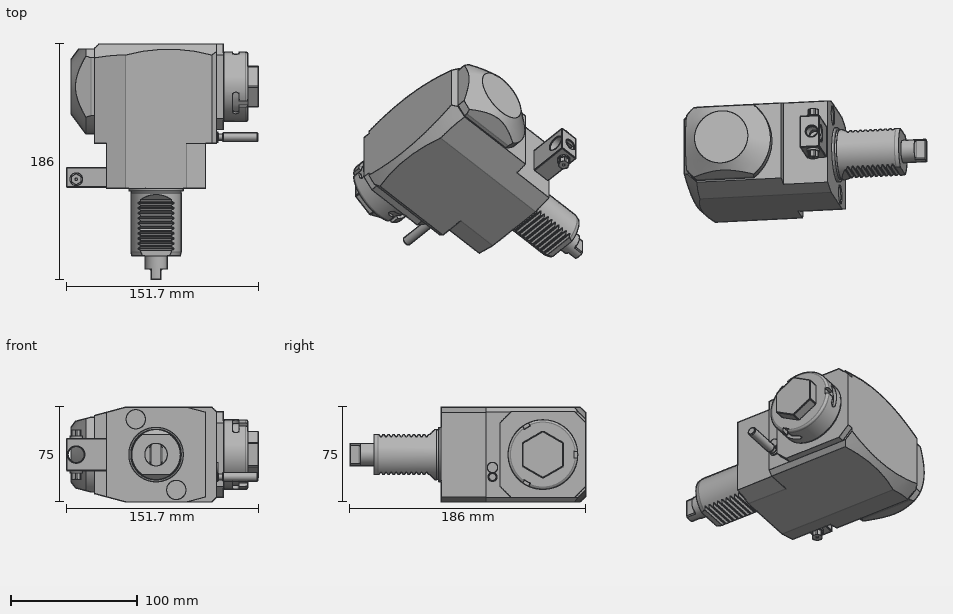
import cadquery as cq
import math


OVERLAP = 1.0

BODY_HALF_HEIGHT = 37.48
BODY_LEFT = -48.7
BODY_RIGHT = 47.8
BODY_BACK = 114.2
FOOT_HALF_WIDTH = 39.2
FOOT_DEPTH = 35.5
SLOPE_START = 24.0
SLOPE = math.tan(math.radians(15))
BODY_CHAMFER = 3.7
BACK_CONE_X = 10.0
BACK_CONE_Y = -18.5
BACK_CONE_RADIUS = 128.3
PLUG_X = 16.0
PLUG_Z = 27.9
PLUG_RADIUS = 7.6
PLUG_DEPTH = 1.0

SPINDLE_Y = 80.4
PLATE_HALF_SIZE = BODY_BACK - SPINDLE_Y
PLATE_RIGHT = 53.2
PLATE_CHAMFER = 8.7
NUT_RIGHT = 72.5
NUT_LEFT = 53.8
NUT_RADIUS = 27.5
NUT_FILLET = 1.9
NUT_SEAT_RADIUS = 26.6
NUT_SLOT_X = 63.0
NUT_SLOT_WIDTH = 5.2
NUT_SLOT_HALF_ANGLE = 21
NUT_SLOT_DEPTH = 2.8
NUT_SLOT_COUNT = 3
HEX_RIGHT = 81.0
HEX_ACROSS_FLATS = 32.4
HEX_CORNER_RADIUS = 18.5
HEX_CHAMFER = 0.5

CAP_LEFT = -67.3
CAP_CONE_START = -55.5
CAP_FACE_RADIUS = 21.4
CAP_RADIUS = 37.4
CAP_BACK = 110.3
CAP_HALF_HEIGHT = 29.5
CAP_SLOPE_START = -51.5

PIPE_Y = 40.5
PIPE_Z = -17.7
PIPE_RADIUS = 3.5
PIPE_END = 80.5
PIPE_START = 52.5
PIPE_CHAMFER = 0.7
NECK_RADIUS = 2.51
SEAT_END = 49.5
SEAT_CHAMFER = 1.0
DISC_Z = -10.2
DISC_RADIUS = 4.0
DISC_HEIGHT = 1.1

BLOCK_LEFT = -70.7
BLOCK_FRONT = 1.0
BLOCK_BACK = 16.5
BLOCK_HALF_HEIGHT = 12.8
BLOCK_CHAMFER = 0.5
NIPPLE_X = -63.0
NIPPLE_Y = 7.3
CROSS_BORE_RADIUS = 6.3
SIDE_BORE_RADIUS = 4.5
BORE_CHAMFER = 0.5
SOCKET_RADIUS = 1.5
SIDE_BORE_END = -54.0
SOCKET_END = -52.0
COLLAR_RADIUS = 5.0
COLLAR_TOP = 14.5
NIPPLE_TOP = 19.5
NIPPLE_ACROSS_FLATS = 7.6
NIPPLE_CORNER_RADIUS = 4.0
NIPPLE_HOLE_RADIUS = 1.0
NIPPLE_HOLE_DEPTH = 2.8

FLANGE_RADIUS = 21.5
FLANGE_END = 2.0
FLANGE_FILLET = 0.5
RELIEF_RADIUS = 19.7
RELIEF_END = 3.5
SHANK_RADIUS = 20.0
SHANK_BEVEL_START = 50.0
SHANK_END = 53.2
SHANK_END_RADIUS = 19.2
FLAT_Z = 15.9
FLAT_RUNOUT_START = 4.8
TOOTH_COUNT = 10
TOOTH_PITCH = 4.0
FIRST_GROOVE = 11.5
GROOVE_DEPTH = 1.9
GROOVE_HALF_TOP = 1.53
GROOVE_HALF_ROOT = 0.28

DRIVE_RADIUS = 9.0
TANG_START = 63.8
TANG_END = 71.8
TANG_HALF_WIDTH = 4.0
TANG_CHAMFER = 0.7
TANG_ROOT_FILLET = 1.0


def box(x_range, y_range, z_range):
    lows, highs = zip(x_range, y_range, z_range)
    size = [high - low for low, high in zip(lows, highs)]
    return cq.Workplane("XY").box(*size, centered=False).translate(lows)


def rod_x(x_start, x_end, radius, y, z):
    """Cylinder along X."""
    return cq.Workplane("YZ", origin=(x_start, y, z)).circle(radius).extrude(x_end - x_start)


def rod_y(y_start, y_end, radius, x, z):
    """Cylinder along Y."""
    return cq.Workplane("XZ", origin=(x, y_start, z)).circle(radius).extrude(y_start - y_end)


def extrude_along_y(points, y_start, y_end):
    """Prism with an XZ outline."""
    return cq.Workplane("XZ", origin=(0, y_start, 0)).polyline(points).close().extrude(y_start - y_end)


def mirrored_outline(upper):
    """Close an upper XZ outline with its mirror image below Z = 0."""
    return upper + [(x, -z) for x, z in reversed(upper)]


def sloped_z(distance):
    """Height of the 15 degree slope at a distance from the shank axis."""
    return BODY_HALF_HEIGHT - (distance - SLOPE_START) * SLOPE


def make_body():
    top = BODY_HALF_HEIGHT
    foot = extrude_along_y(mirrored_outline([
        (-FOOT_HALF_WIDTH, sloped_z(FOOT_HALF_WIDTH)),
        (-SLOPE_START, top),
        (SLOPE_START, top),
        (FOOT_HALF_WIDTH, sloped_z(FOOT_HALF_WIDTH)),
    ]), 0, FOOT_DEPTH + OVERLAP)
    head = extrude_along_y(mirrored_outline([
        (BODY_LEFT, sloped_z(-BODY_LEFT)),
        (-SLOPE_START, top),
        (BODY_RIGHT - BODY_CHAMFER, top),
        (BODY_RIGHT, top - BODY_CHAMFER),
    ]), FOOT_DEPTH, BODY_BACK)
    head = head.edges("|Z and >Y and <X").chamfer(BODY_CHAMFER)
    back_bevel = (
        cq.Workplane("XZ")
        .polyline([
            (0, -top),
            (BACK_CONE_RADIUS, -top),
            (BACK_CONE_RADIUS + top, 0),
            (BACK_CONE_RADIUS, top),
            (0, top),
        ])
        .close()
        .revolve(360, (0, 0), (0, 1))
        .translate((BACK_CONE_X, BACK_CONE_Y, 0))
    )
    body = foot.union(head.intersect(back_bevel))
    for side in (-1, 1):
        body = body.cut(rod_y(0, PLUG_DEPTH, PLUG_RADIUS, side * PLUG_X, -side * PLUG_Z))
    return body


def make_plate():
    return (
        cq.Workplane("YZ", origin=(BODY_RIGHT - OVERLAP, SPINDLE_Y, 0))
        .rect(2 * PLATE_HALF_SIZE, 2 * PLATE_HALF_SIZE)
        .extrude(PLATE_RIGHT - BODY_RIGHT + OVERLAP)
        .edges("|X")
        .chamfer(PLATE_CHAMFER)
    )


def make_nut():
    """Round collet nut with wrench slots, each open to the front through a channel."""
    nut = rod_x(NUT_LEFT, NUT_RIGHT, NUT_RADIUS, SPINDLE_Y, 0)
    nut = nut.faces(">X").edges().fillet(NUT_FILLET)
    seat = rod_x(PLATE_RIGHT - OVERLAP, NUT_LEFT + OVERLAP, NUT_SEAT_RADIUS, SPINDLE_Y, 0)
    nut = nut.union(seat)
    slot_length = 2 * NUT_RADIUS * math.sin(math.radians(NUT_SLOT_HALF_ANGLE))
    slot = (
        cq.Workplane("XZ", origin=(NUT_SLOT_X, SPINDLE_Y, 0))
        .slot2D(slot_length, NUT_SLOT_WIDTH, 90)
        .extrude(-2 * NUT_RADIUS)
    )
    channel = box(
        (NUT_SLOT_X, NUT_RIGHT),
        (SPINDLE_Y, SPINDLE_Y + NUT_RADIUS),
        (-NUT_SLOT_WIDTH / 2, NUT_SLOT_WIDTH / 2),
    )
    core = rod_x(PLATE_RIGHT, NUT_RIGHT, NUT_RADIUS - NUT_SLOT_DEPTH, SPINDLE_Y, 0)
    cutter = slot.union(channel).cut(core)
    for index in range(NUT_SLOT_COUNT):
        angle = index * 360 / NUT_SLOT_COUNT
        nut = nut.cut(cutter.rotate((0, SPINDLE_Y, 0), (1, SPINDLE_Y, 0), angle))
    return nut


def make_hex():
    corner_diameter = HEX_ACROSS_FLATS / math.cos(math.radians(30))
    hexagon = (
        cq.Workplane("YZ", origin=(NUT_RIGHT - OVERLAP, SPINDLE_Y, 0))
        .transformed(rotate=(0, 0, 30))
        .polygon(6, corner_diameter)
        .extrude(HEX_RIGHT - NUT_RIGHT + OVERLAP)
    )
    rounding = rod_x(NUT_RIGHT - OVERLAP, HEX_RIGHT, HEX_CORNER_RADIUS, SPINDLE_Y, 0)
    return hexagon.intersect(rounding).faces(">X").edges().chamfer(HEX_CHAMFER)


def make_cap():
    """Conical cap trimmed by a flat back and sloped top and bottom faces."""
    inner_end = BODY_LEFT + OVERLAP
    cone = (
        cq.Workplane("XY", origin=(0, SPINDLE_Y, 0))
        .polyline([
            (CAP_LEFT, 0),
            (CAP_LEFT, CAP_FACE_RADIUS),
            (CAP_CONE_START, CAP_RADIUS),
            (inner_end, CAP_RADIUS),
            (inner_end, 0),
        ])
        .close()
        .revolve(360, (0, 0), (1, 0))
    )
    front = SPINDLE_Y - CAP_RADIUS
    envelope = extrude_along_y(mirrored_outline([
        (CAP_LEFT, CAP_HALF_HEIGHT - (CAP_SLOPE_START - CAP_LEFT) * SLOPE),
        (CAP_SLOPE_START, CAP_HALF_HEIGHT),
        (inner_end, CAP_HALF_HEIGHT),
    ]), front, CAP_BACK)
    return cone.intersect(envelope)


def make_pipe():
    root = BODY_RIGHT - OVERLAP
    seat = rod_x(root, SEAT_END, PIPE_RADIUS, PIPE_Y, PIPE_Z).faces(">X").edges().chamfer(SEAT_CHAMFER)
    neck = rod_x(root, PIPE_START + OVERLAP, NECK_RADIUS, PIPE_Y, PIPE_Z)
    pipe = rod_x(PIPE_START, PIPE_END, PIPE_RADIUS, PIPE_Y, PIPE_Z)
    pipe = pipe.faces("<X or >X").edges().chamfer(PIPE_CHAMFER)
    disc = rod_x(root, BODY_RIGHT + DISC_HEIGHT, DISC_RADIUS, PIPE_Y, DISC_Z)
    return seat.union(neck).union(pipe).union(disc)


def make_nipple():
    """Upper nipple: round collar, hexagon and a small centre hole."""
    root = BLOCK_HALF_HEIGHT - OVERLAP
    center = cq.Workplane("XY", origin=(NIPPLE_X, NIPPLE_Y, root))
    collar = center.circle(COLLAR_RADIUS).extrude(COLLAR_TOP - root)
    corner_diameter = NIPPLE_ACROSS_FLATS / math.cos(math.radians(30))
    hexagon = center.transformed(rotate=(0, 0, 30)).polygon(6, corner_diameter).extrude(NIPPLE_TOP - root)
    rounding = center.circle(NIPPLE_CORNER_RADIUS).extrude(NIPPLE_TOP - root)
    nipple = collar.union(hexagon.intersect(rounding))
    return nipple.faces(">Z").workplane(origin=(NIPPLE_X, NIPPLE_Y)).hole(
        2 * NIPPLE_HOLE_RADIUS, NIPPLE_HOLE_DEPTH
    )


def make_coolant_block():
    block = box(
        (BLOCK_LEFT, -FOOT_HALF_WIDTH + OVERLAP),
        (BLOCK_FRONT, BLOCK_BACK),
        (-BLOCK_HALF_HEIGHT, BLOCK_HALF_HEIGHT),
    )
    block = block.edges("|X or <X").chamfer(BLOCK_CHAMFER)
    block = block.cut(rod_y(BLOCK_FRONT, BLOCK_BACK, CROSS_BORE_RADIUS, NIPPLE_X, 0))
    block = block.cut(rod_x(BLOCK_LEFT, SIDE_BORE_END, SIDE_BORE_RADIUS, NIPPLE_Y, 0))
    for face in ("<Y", ">Y", "<X"):
        block = block.faces(face).edges("%CIRCLE").chamfer(BORE_CHAMFER)
    block = block.cut(rod_x(SIDE_BORE_END, SOCKET_END, SOCKET_RADIUS, NIPPLE_Y, 0))
    nipple = make_nipple()
    return block.union(nipple).union(nipple.mirror("XY"))


def make_flat_cutter():
    """Material above the toothed flat: a 45 degree run-out, the flat and its V grooves."""
    rise = SHANK_RADIUS - FLAT_Z
    clear_z = SHANK_RADIUS + rise
    outline = [
        (-FLAT_RUNOUT_START + rise, clear_z),
        (-FLAT_RUNOUT_START - rise, FLAT_Z),
    ]
    for index in range(TOOTH_COUNT):
        y = -FIRST_GROOVE - index * TOOTH_PITCH
        outline += [
            (y + GROOVE_HALF_TOP, FLAT_Z),
            (y + GROOVE_HALF_ROOT, FLAT_Z - GROOVE_DEPTH),
            (y - GROOVE_HALF_ROOT, FLAT_Z - GROOVE_DEPTH),
            (y - GROOVE_HALF_TOP, FLAT_Z),
        ]
    outline += [(-SHANK_END, FLAT_Z), (-SHANK_END, clear_z)]
    return cq.Workplane("YZ").polyline(outline).close().extrude(SHANK_RADIUS, both=True)


def make_shank():
    shank = (
        cq.Workplane("XY")
        .polyline([
            (0, OVERLAP),
            (RELIEF_RADIUS, OVERLAP),
            (RELIEF_RADIUS, -RELIEF_END),
            (SHANK_RADIUS, -RELIEF_END),
            (SHANK_RADIUS, -SHANK_BEVEL_START),
            (SHANK_END_RADIUS, -SHANK_END),
            (0, -SHANK_END),
        ])
        .close()
        .revolve(360, (0, 0), (0, 1))
    )
    cutter = make_flat_cutter()
    shank = shank.cut(cutter).cut(cutter.mirror("XY"))
    flange = rod_y(-FLANGE_END, OVERLAP, FLANGE_RADIUS, 0, 0).faces("<Y").edges().fillet(FLANGE_FILLET)
    return shank.union(flange)


def make_drive():
    drive = rod_y(-TANG_END, -SHANK_END + OVERLAP, DRIVE_RADIUS, 0, 0)
    for x_range in ((-DRIVE_RADIUS, -TANG_HALF_WIDTH), (TANG_HALF_WIDTH, DRIVE_RADIUS)):
        side = box(x_range, (-TANG_END, -TANG_START), (-DRIVE_RADIUS, DRIVE_RADIUS))
        drive = drive.cut(side)
    tang_sides = drive.faces("|X")
    drive = drive.newObject(tang_sides.edges("|Y").vals()).chamfer(TANG_CHAMFER)
    root_edges = cq.selectors.BoxSelector(
        (-DRIVE_RADIUS / 2, -TANG_START - TANG_ROOT_FILLET / 2, -DRIVE_RADIUS),
        (DRIVE_RADIUS / 2, -TANG_START + TANG_ROOT_FILLET / 2, DRIVE_RADIUS),
    )
    return drive.edges("|Z").edges(root_edges).fillet(TANG_ROOT_FILLET)


result = make_body()
for piece in (
    make_plate(),
    make_nut(),
    make_hex(),
    make_cap(),
    make_pipe(),
    make_coolant_block(),
    make_shank(),
    make_drive(),
):
    result = result.union(piece)